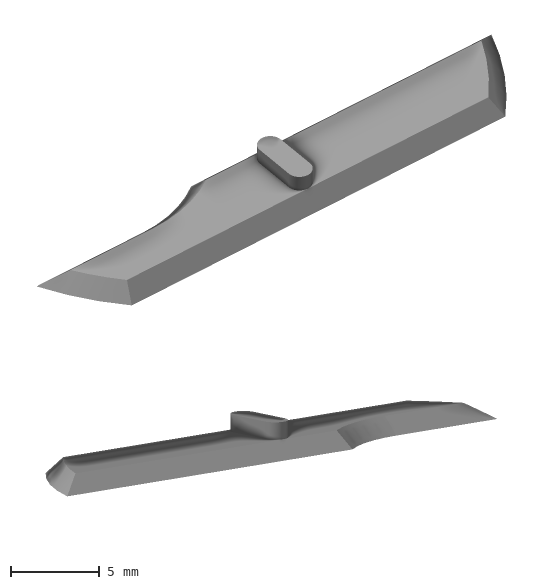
import cadquery as cq
import math

plate_thickness = 1.0
pin_height = 1.0
blade_width = 6.15
bevel_angle = 45.0
blade_turn = -30.0

end_radius = 18.45
end_center_x = -9.6

step_depth = 1.5
step_top_y = -4.3
step_radius = 8.0

pin_width = 1.5
pin_length = blade_width - 2 * plate_thickness * math.tan(math.radians(bevel_angle))

right_x = blade_width / 2
left_x = -right_x
narrow_x = left_x + step_depth


def end_height(x):
    """Height of the end circle above its centre line at x."""
    return math.sqrt(end_radius**2 - (x - end_center_x) ** 2)


def step_arc_points():
    """Middle and lower end of the step arc, which is tangent to the narrow edge."""
    center_x = narrow_x - step_radius
    sweep = math.acos((left_x - center_x) / step_radius)
    bottom_y = step_top_y - step_radius * math.sin(sweep)
    middle = (
        center_x + step_radius * math.cos(sweep / 2),
        bottom_y + step_radius * math.sin(sweep / 2),
    )
    return middle, (narrow_x, bottom_y)


def make_plate():
    """Beveled blade, widest at its underside."""
    step_middle, step_bottom = step_arc_points()
    lower_middle_x = (narrow_x + right_x) / 2
    return (
        cq.Workplane("XY")
        .moveTo(left_x, step_top_y)
        .threePointArc(step_middle, step_bottom)
        .lineTo(narrow_x, -end_height(narrow_x))
        .threePointArc((lower_middle_x, -end_height(lower_middle_x)), (right_x, -end_height(right_x)))
        .lineTo(right_x, end_height(right_x))
        .threePointArc((0, end_height(0)), (left_x, end_height(left_x)))
        .close()
        .extrude(plate_thickness, taper=bevel_angle)
    )


def make_pin():
    """Round-ended pin across the flat top of the blade."""
    return (
        cq.Workplane("XY")
        .workplane(offset=plate_thickness)
        .slot2D(pin_length, pin_width)
        .extrude(pin_height)
    )


blade = make_plate().union(make_pin())
result = blade.rotate((0, 0, 0), (0, 0, 1), blade_turn)